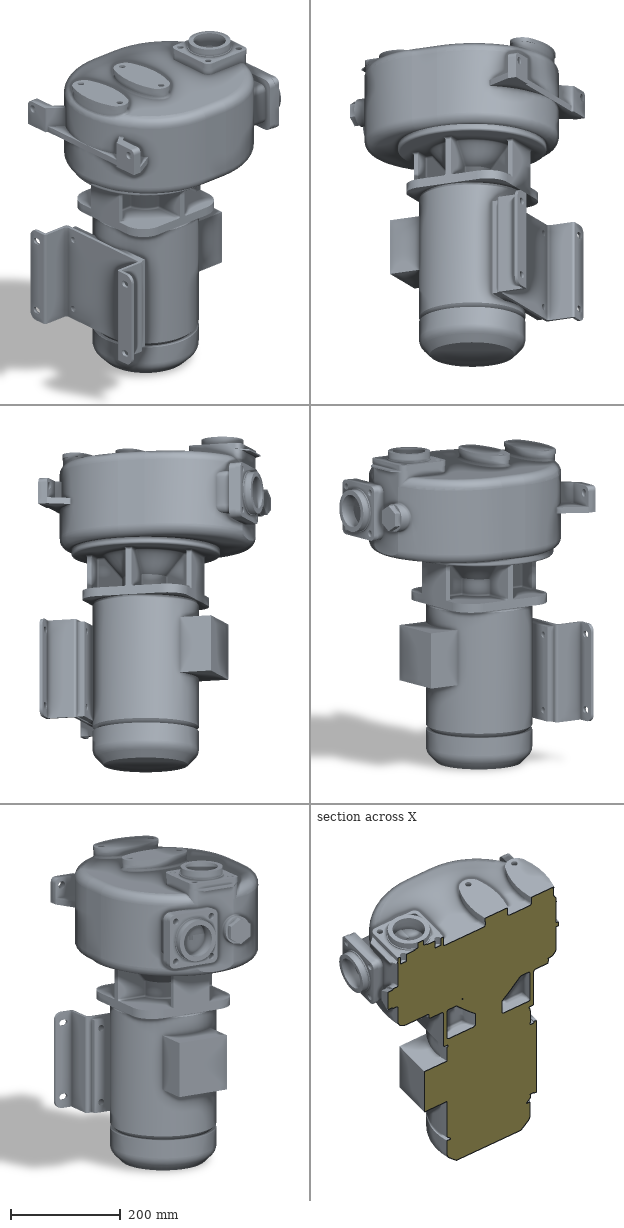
import cadquery as cq
import math


total_height = 591.5
casing_bottom = 398.5
casing_top = 553.5
port_height = 480.0

casing_x = 8.0
casing_radius = 154.5
casing_straight = 51.0
casing_back = 200.5
casing_edge = 18.0

flange_size = 101.0
flange_corner = 10.5
seat_corner = 13.0
neck_radius = 38.5
neck_length = 15.5
flange_thick = total_height - neck_length - casing_top
top_port_y = casing_back - flange_size / 2
neck_foot_radius = 40.0
neck_foot_length = 2.5
bore_radius = 29.5
flap_depth = 10.0
bolt_pitch = 76.0
bolt_radius = 6.0
bolt_depth = 18.0
side_port_x = 68.0
side_port_face = 221.0
side_duct_size = 77.0
side_duct_corner = 12.0

oval_half_length = 65.5
oval_half_width = 31.0
oval_screw_x = 52.5
oval_flare = 4.0
oval_end_radius = 22.5
oval_end_angle = 72.0
oval_seam = 565.0

motor_radius = 97.0
motor_top = 297.0
motor_bottom = 70.0
cover_top = 61.5
groove_depth = 8.0

disc_radius = 135.5
disc_bottom = 387.0
adapter_half = 100.0
adapter_bottom = 299.5
adapter_top = 315.0
adapter_corner = 40.0
hub_radius = 42.0
cone_bottom = 346.0
cone_radius = 77.0
web_thick = 11.0
wall_width = 76.5
wall_thick = 9.0

foot_front = -159.0
sheet = 6.0
bracket_half = 137.0
bracket_web_x = 103.5
bracket_back = -100.0
seat_back = -87.0
bracket_hole_x = 80.0
bracket_bottom = 77.5
bracket_top = 258.5
bend_radius = 5.0
bracket_hole_low = 98.0
bracket_hole_high = 238.5


def block(x0, x1, y0, y1, z0, z1):
    """Box between two opposite corners."""
    return cq.Workplane("XY").box(x1 - x0, y1 - y0, z1 - z0, centered=False).translate((x0, y0, z0))


def zone(x0, x1, y0, y1, z0, z1):
    """Selector for edges centred in a box, its limits included."""
    margin = 0.5
    return cq.selectors.BoxSelector(
        (x0 - margin, y0 - margin, z0 - margin), (x1 + margin, y1 + margin, z1 + margin))


def between(half_x, half_y, z0, z1):
    """Selector for edges centred in a box around the Z axis."""
    return zone(-half_x, half_x, -half_y, half_y, z0, z1)


def rod(radius, z0, z1):
    """Cylinder on the Z axis."""
    return cq.Workplane("XY").workplane(offset=z0).circle(radius).extrude(z1 - z0)


def rod_y(radius, x, z, y0, y1):
    """Cylinder along Y."""
    return cq.Workplane("XZ", origin=(x, y0, z)).circle(radius).extrude(y0 - y1)


def square_block(size, corner, z0, z1):
    """Square prism on the Z axis with rounded vertical edges."""
    return block(-size / 2, size / 2, -size / 2, size / 2, z0, z1).edges("|Z").fillet(corner)


def casing():
    """Racetrack-shaped volute with rounded rims and a flat back."""
    left = casing_x - casing_radius
    right = casing_x + casing_radius
    body = (
        cq.Workplane("XY").workplane(offset=casing_bottom)
        .moveTo(right, 0)
        .lineTo(right, casing_straight)
        .threePointArc((casing_x, casing_straight + casing_radius), (left, casing_straight))
        .lineTo(left, 0)
        .threePointArc((casing_x, -casing_radius), (right, 0))
        .close()
        .extrude(casing_top - casing_bottom)
        .faces("<Z or >Z").edges().fillet(casing_edge)
    )
    behind = casing_back + casing_radius
    return body.cut(block(left, right, casing_back, behind, casing_bottom, casing_top))


def port_body():
    """Flange and neck with the flange face on Z = 0 and the neck pointing up."""
    flange = square_block(flange_size, flange_corner, -flap_depth, 0)
    flange = flange.union(square_block(flange_size, seat_corner, -flange_thick, -flap_depth))
    foot = rod(neck_foot_radius, 0, neck_foot_length)
    return flange.union(foot).union(rod(neck_radius, 0, neck_length))


def port_cuts():
    """Bore down to the flap with its hinge step, and the flange bolt holes."""
    step_y = -3.5
    step_depth = 2.0
    notch_half = 3.5
    notch_length = 8.0
    notch = block(
        -notch_half, notch_half, step_y, step_y + notch_length, -flap_depth - step_depth, -flap_depth)
    lower = rod(bore_radius, -flap_depth - step_depth, -flap_depth)
    lower = lower.intersect(block(-bore_radius, bore_radius, -bore_radius, step_y, -flange_thick, 0))
    holes = (
        cq.Workplane("XY").rect(bolt_pitch, bolt_pitch, forConstruction=True)
        .vertices().circle(bolt_radius).extrude(-bolt_depth)
    )
    return rod(bore_radius, -flap_depth, neck_length).union(lower).union(notch).union(holes)


def to_top_port(shape):
    """Move a port shape onto the casing top."""
    return shape.translate((casing_x, top_port_y, total_height - neck_length))


def to_side_port(shape):
    """Turn a port shape to face +Y and move it to the side port."""
    turned = shape.rotate((0, 0, 0), (1, 0, 0), -90)
    return turned.translate((side_port_x, side_port_face, port_height))


def top_flap():
    """Thin flap sheet standing out behind the top port, with a tapered tip."""
    thick = 2.5
    tip_y = 213.0
    tip_half = 31.5
    root_half = 45.0
    return (
        cq.Workplane("XY").workplane(offset=total_height - neck_length - flap_depth - thick)
        .moveTo(casing_x - root_half, casing_back - thick)
        .lineTo(casing_x + root_half, casing_back - thick)
        .lineTo(casing_x + tip_half, tip_y)
        .lineTo(casing_x - tip_half, tip_y)
        .close().extrude(thick)
    )


def top_seat():
    """Foot of the top port flange, reaching down into the rounded casing edge."""
    return square_block(flange_size, seat_corner, -flange_thick - casing_edge, -flap_depth)


def side_duct():
    """Rounded square duct joining the side flange to the casing."""
    return square_block(side_duct_size, side_duct_corner, casing_straight - side_port_face, -flap_depth)


def add_filler_plug(body):
    """Join a round boss with a flared foot and a hexagon plug to the +Y side of the casing."""
    plug_x = -31.5
    boss_radius = 25.5
    boss_end = 212.0
    plug_end = 223.0
    across_corners = 47.5
    boss_flare = 2.5
    boss = rod_y(boss_radius, plug_x, port_height, casing_straight, boss_end)
    plug = (
        cq.Workplane("XZ", origin=(plug_x, boss_end, port_height))
        .transformed(rotate=(0, 0, 90))
        .polygon(6, across_corners).extrude(boss_end - plug_end)
    )
    foot_zone = zone(
        plug_x - boss_radius, plug_x + boss_radius, casing_straight, casing_back,
        port_height - boss_radius, port_height + boss_radius)
    return body.union(boss).edges(foot_zone).fillet(boss_flare).union(plug)


def oval_plate(y, top):
    """Cover plate bounded by four tangent arcs."""
    end_centre = oval_half_length - oval_end_radius
    angle = math.radians(oval_end_angle)
    join_x = end_centre + oval_end_radius * math.cos(angle)
    join_y = oval_end_radius * math.sin(angle)
    return (
        cq.Workplane("XY", origin=(casing_x, y, oval_seam))
        .moveTo(join_x, -join_y)
        .threePointArc((oval_half_length, 0), (join_x, join_y))
        .threePointArc((0, oval_half_width), (-join_x, join_y))
        .threePointArc((-oval_half_length, 0), (-join_x, -join_y))
        .threePointArc((0, -oval_half_width), (join_x, -join_y))
        .close().extrude(top - oval_seam)
    )


def add_oval_cover(body, y, top):
    """Join an elliptic boss with a flared foot and a screwed cover plate to the casing."""
    screw_depth = 9.5
    root = casing_top - casing_edge
    boss = (
        cq.Workplane("XY", origin=(casing_x, y, root))
        .ellipse(oval_half_length, oval_half_width).extrude(oval_seam - root)
    )
    screws = (
        cq.Workplane("XY", origin=(casing_x, y, top))
        .pushPoints([(-oval_screw_x, 0), (oval_screw_x, 0)]).circle(bolt_radius).extrude(-screw_depth)
    )
    foot_zone = zone(
        casing_x - oval_half_length, casing_x + oval_half_length,
        y - oval_half_width, y + oval_half_width, casing_top - casing_edge / 2, casing_top)
    return body.union(boss).edges(foot_zone).fillet(oval_flare).union(oval_plate(y, top)).cut(screws)


def casing_lugs():
    """Shelf on the casing front with two drilled pads and their slanted braces."""
    low, high = 468.5, 517.0
    shelf_top = 480.0
    pad_back = -142.5
    pad_outer, pad_inner = 144.0, 96.0
    pad_corner = 9.0
    shelf_front = -155.0
    shelf_inner, shelf_back = 112.5, -86.0
    brace_run = 35.5
    brace_rise = brace_run * 1.2
    brace_width = 14.0
    hole_x, hole_z, hole_radius = 130.0, 503.5, 7.0

    shelf = (
        cq.Workplane("XY").workplane(offset=low)
        .polyline([
            (-pad_outer, pad_back), (-pad_inner, pad_back), (-pad_inner, shelf_front),
            (pad_inner, shelf_front), (pad_inner, pad_back), (pad_outer, pad_back),
            (shelf_inner, shelf_back), (-shelf_inner, shelf_back),
        ]).close().extrude(shelf_top - low)
    )
    lugs = shelf
    for side in (-1, 1):
        pad = block(pad_inner, pad_outer, foot_front, pad_back, low, high)
        pad = pad.edges("|Y and >X and >Z").fillet(pad_corner)
        pad = pad.cut(rod_y(hole_radius, hole_x, hole_z, foot_front, pad_back))
        brace = (
            cq.Workplane("XY").workplane(offset=low)
            .polyline([
                (pad_inner, pad_back), (pad_inner - brace_run, pad_back + brace_rise),
                (pad_inner - brace_run, pad_back + brace_rise - brace_width),
                (pad_inner, pad_back - brace_width),
            ]).close().extrude(high - low)
        )
        lug = pad.union(brace)
        lugs = lugs.union(lug if side > 0 else lug.mirror("YZ"))
    return lugs


def adapter():
    """Disc, hub, ribs and square flange between casing and motor."""
    flange = square_block(2 * adapter_half, adapter_corner, adapter_bottom, adapter_top)
    hub = (
        cq.Workplane("XZ")
        .polyline([
            (0, adapter_bottom), (hub_radius, adapter_bottom), (hub_radius, cone_bottom),
            (cone_radius, disc_bottom), (0, disc_bottom),
        ]).close().revolve(360, (0, 0), (0, 1))
    )
    half_web = web_thick / 2
    half_wall = wall_width / 2
    wall_inside = adapter_half - wall_thick
    cast_fillet = 3.5
    ribs = block(-adapter_half, adapter_half, -half_web, half_web, adapter_bottom, disc_bottom)
    ribs = ribs.union(block(-half_web, half_web, -adapter_half, adapter_half, adapter_bottom, disc_bottom))
    for y in (-adapter_half, adapter_half - wall_thick):
        ribs = ribs.union(block(-half_wall, half_wall, y, y + wall_thick, adapter_bottom, disc_bottom))
    disc = rod(disc_radius, disc_bottom, casing_bottom)
    frame = disc.union(hub).union(flange).union(ribs)
    low, high = adapter_top + cast_fillet, disc_bottom - cast_fillet
    near_webs = between(web_thick, wall_inside, low, high)
    near_webs += between(wall_inside, web_thick, low, high)
    frame = frame.edges(near_webs).fillet(cast_fillet)
    frame = frame.edges(between(cone_radius, wall_inside, adapter_top, adapter_top)).fillet(cast_fillet)
    return frame.edges(between(adapter_half, adapter_half, disc_bottom, disc_bottom)).fillet(cast_fillet)


def motor():
    """Turned motor body with fan cover."""
    neck_edge = 2.5
    cover_straight = 28.5
    cover_arc_radius = 20.5
    taper_angle = math.radians(45)

    def arc_point(angle):
        radius = motor_radius - cover_arc_radius * (1 - math.cos(angle))
        return radius, cover_straight - cover_arc_radius * math.sin(angle)

    taper_radius, taper_z = arc_point(taper_angle)
    return (
        cq.Workplane("XZ")
        .moveTo(0, 0)
        .lineTo(taper_radius - taper_z, 0)
        .lineTo(taper_radius, taper_z)
        .threePointArc(arc_point(taper_angle / 2), (motor_radius, cover_straight))
        .lineTo(motor_radius, cover_top)
        .lineTo(motor_radius - groove_depth, cover_top)
        .lineTo(motor_radius, motor_bottom)
        .lineTo(motor_radius, motor_top - neck_edge)
        .lineTo(motor_radius - neck_edge, motor_top)
        .lineTo(motor_radius - neck_edge, adapter_bottom)
        .lineTo(0, adapter_bottom)
        .close().revolve(360, (0, 0), (0, 1))
    )


def terminal_box():
    """Box on the +Y side of the motor."""
    half_width = 51.0
    back = 142.0
    low, high = 158.5, 261.0
    return block(-half_width, half_width, 0, back, low, high)


def motor_bracket():
    """Hat-section sheet with slotted feet, mounting the motor."""
    foot_corner = 14.0
    slot_x, slot_length, slot_width = 120.0, 16.5, 12.0
    web_inner_x = bracket_web_x - sheet
    height = bracket_top - bracket_bottom
    hat = (
        cq.Workplane("XY").workplane(offset=bracket_bottom)
        .polyline([
            (-bracket_half, foot_front), (-web_inner_x, foot_front),
            (-web_inner_x, bracket_back - sheet), (web_inner_x, bracket_back - sheet),
            (web_inner_x, foot_front), (bracket_half, foot_front),
            (bracket_half, foot_front + sheet), (bracket_web_x, foot_front + sheet),
            (bracket_web_x, bracket_back), (-bracket_web_x, bracket_back),
            (-bracket_web_x, foot_front + sheet), (-bracket_half, foot_front + sheet),
        ]).close().extrude(height)
    )
    bends = (
        (web_inner_x, foot_front),
        (web_inner_x, bracket_back - sheet),
        (bracket_web_x, bracket_back),
    )
    for x, y in bends:
        for bend_x in (-x, x):
            bend = zone(bend_x, bend_x, y, y, bracket_bottom, bracket_top)
            hat = hat.edges("|Z").edges(bend).fillet(bend_radius)
    hat = hat.edges("|Y and (<X or >X)").fillet(foot_corner)
    for z in (bracket_hole_low, bracket_hole_high):
        for side in (-1, 1):
            slot = (
                cq.Workplane("XZ", origin=(side * slot_x, foot_front, z))
                .slot2D(slot_length, slot_width).extrude(-sheet)
            )
            hat = hat.cut(slot)
    return hat


def bracket_screw_holes():
    """Holes through the bracket sheet and the motor pad."""
    hole_radius = 6.0
    holes = cq.Workplane("XY")
    for z in (bracket_hole_low, bracket_hole_high):
        for x in (-bracket_hole_x, bracket_hole_x):
            holes = holes.add(rod_y(hole_radius, x, z, bracket_back - sheet, seat_back))
    return holes.combine()


def motor_pad():
    """Seat between the motor and its bracket."""
    half_width = 94.0
    low, high = 79.0, 255.0
    return block(-half_width, half_width, bracket_back, seat_back, low, high)


pump = add_filler_plug(casing())
pump = add_oval_cover(pump, -17.0, 574.5)
pump = add_oval_cover(pump, -119.0, 572.5)
pump = pump.union(to_top_port(top_seat())).union(to_side_port(side_duct())).union(casing_lugs())
for place in (to_top_port, to_side_port):
    pump = pump.union(place(port_body()))
pump = pump.union(top_flap())
for place in (to_top_port, to_side_port):
    pump = pump.cut(place(port_cuts()))

result = pump.union(adapter()).union(motor()).union(terminal_box())
result = result.union(motor_pad().union(motor_bracket()).cut(bracket_screw_holes()))